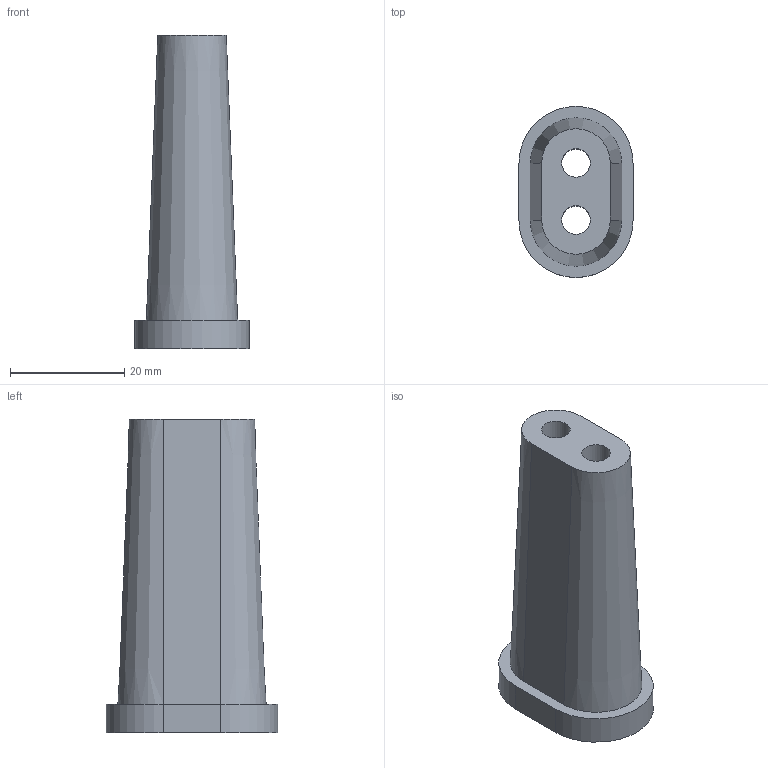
import cadquery as cq

straight_length = 10.0
base_width = 20.0
base_height = 5.0
body_bottom_width = 16.0
body_top_width = 12.0
body_height = 50.0
hole_diameter = 5.0
hole_spacing = straight_length

total_height = base_height + body_height


def add_oval(workplane, width):
    """Draw an oval with its long axis along Y and full-round ends."""
    return workplane.slot2D(straight_length + width, width, angle=90)


def make_base():
    """Flat oval flange standing on Z = 0."""
    return add_oval(cq.Workplane("XY"), base_width).extrude(base_height)


def make_body():
    """Oval column that narrows evenly from the flange to the top."""
    bottom = add_oval(cq.Workplane("XY").workplane(offset=base_height), body_bottom_width)
    both_ends = add_oval(bottom.workplane(offset=body_height), body_top_width)
    return both_ends.loft(ruled=True, combine=True)


def make_holes():
    """Two parallel bores running the full height of the part."""
    return (
        cq.Workplane("XY")
        .rarray(1, hole_spacing, 1, 2)
        .circle(hole_diameter / 2)
        .extrude(total_height)
    )


result = make_base().union(make_body()).cut(make_holes())